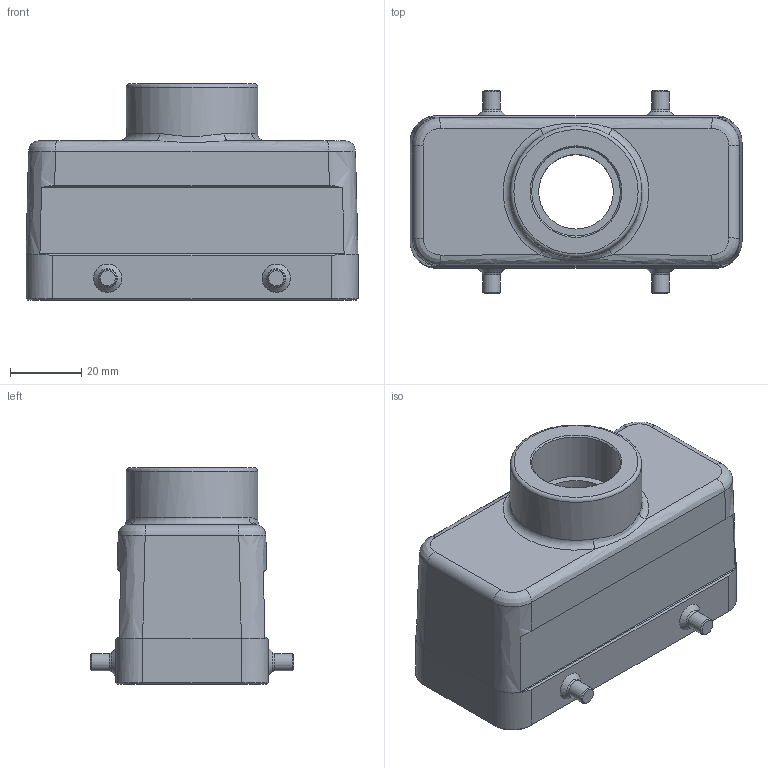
import cadquery as cq
import math

body_length = 93.5
body_width = 43.0
corner_radius = 7.6
rim_height = 13.0
body_top = 44.9
draft_angle = 1.4
top_edge_radius = 3.0
bottom_edge_chamfer = 0.4

total_height = 61.0
collar_diameter = 37.0
collar_edge_radius = 1.0
collar_root_radius = 2.0
collar_embed = 10.0
entry_bore_diameter = 25.0
entry_bore_depth = 14.0
entry_bore_chamfer = 0.4
through_bore_diameter = 21.0

recess_depth = 0.95
recess_bottom = 13.2
recess_top = 32.3
recess_top_slope_height = 0.6
ledge_bevel_width = 0.4
ledge_bevel_height = 0.6

pin_diameter = 4.9
pin_span = 57.2
pin_spacing = 47.5
pin_height = 6.2
pin_tip_chamfer = 0.3
pin_foot_diameter = 8.0
pin_foot_top_diameter = 5.4
pin_neck_length = 0.5
pin_embed = 1.0

draft_slope = math.tan(math.radians(draft_angle))


def half_width_at(z):
    """Half of the drafted body width at height z above the rim."""
    return body_width / 2 - (z - rim_height) * draft_slope


def rounded_rectangle(length, width):
    return cq.Sketch().rect(length, width).vertices().fillet(corner_radius)


def make_body():
    shell_height = body_top - rim_height
    inset = 2 * shell_height * draft_slope
    rim = (
        cq.Workplane("XY")
        .placeSketch(rounded_rectangle(body_length, body_width))
        .extrude(rim_height)
        .faces("<Z")
        .chamfer(bottom_edge_chamfer)
    )
    shell = (
        cq.Workplane("XY", origin=(0, 0, rim_height))
        .placeSketch(
            rounded_rectangle(body_length, body_width),
            rounded_rectangle(body_length - inset, body_width - inset).moved(
                cq.Location(cq.Vector(0, 0, shell_height))
            ),
        )
        .loft(ruled=True)
        .faces(">Z")
        .edges()
        .fillet(top_edge_radius)
    )
    return rim.union(shell)


def add_collar(body):
    """Join the collar to the body and round its root and its top edge."""
    collar_base = body_top - collar_embed
    collar = (
        cq.Workplane("XY", origin=(0, 0, collar_base))
        .circle(collar_diameter / 2)
        .extrude(total_height - collar_base)
        .faces(">Z")
        .edges()
        .fillet(collar_edge_radius)
    )
    joined = body.union(collar)
    reach = collar_diameter / 2 + collar_root_radius / 2
    root_box = cq.selectors.BoxSelector(
        (-reach, -reach, body_top - top_edge_radius),
        (reach, reach, body_top + collar_root_radius),
        boundingbox=True,
    )
    return joined.edges(root_box).fillet(collar_root_radius)


def cut_bores(body):
    top = cq.Workplane("XY", origin=(0, 0, total_height))
    through_bore = top.circle(through_bore_diameter / 2).extrude(-total_height)
    entry_bore = top.circle(entry_bore_diameter / 2).extrude(-entry_bore_depth)
    mouth = cq.Workplane("XY").add(
        cq.Solid.makeCone(
            entry_bore_diameter / 2,
            entry_bore_diameter / 2 + entry_bore_chamfer,
            entry_bore_chamfer,
            pnt=cq.Vector(0, 0, total_height - entry_bore_chamfer),
        )
    )
    return body.cut(through_bore).cut(entry_bore).cut(mouth)


def make_recess_cutter():
    """Cutter for the -Y side: floor parallel to the drafted wall, sloped top, bevelled ledge below."""
    wall = body_width / 2
    clear = wall + ledge_bevel_width
    floor_top = recess_top - recess_top_slope_height
    profile = [
        (-half_width_at(recess_top), recess_top),
        (-(half_width_at(floor_top) - recess_depth), floor_top),
        (-(half_width_at(recess_bottom) - recess_depth), recess_bottom),
        (-(wall - ledge_bevel_width), recess_bottom),
        (-wall, recess_bottom - ledge_bevel_height),
        (-clear, recess_bottom - ledge_bevel_height),
        (-clear, recess_top),
    ]
    return cq.Workplane("YZ").polyline(profile).close().extrude(body_length / 2, both=True)


def make_pin(x):
    """Pin on the -Y side with a conical foot and a tapered neck, revolved about its own axis."""
    wall = body_width / 2
    tip = pin_span / 2
    pin_radius = pin_diameter / 2
    foot_radius = pin_foot_diameter / 2
    foot_top_radius = pin_foot_top_diameter / 2
    foot_end = wall + foot_radius - foot_top_radius
    profile = [
        (0, -(wall - pin_embed)),
        (foot_radius, -(wall - pin_embed)),
        (foot_radius, -wall),
        (foot_top_radius, -foot_end),
        (pin_radius, -(foot_end + pin_neck_length)),
        (pin_radius, -(tip - pin_tip_chamfer)),
        (pin_radius - pin_tip_chamfer, -tip),
        (0, -tip),
    ]
    pin = cq.Workplane("XY").polyline(profile).close().revolve(360, (0, 0, 0), (0, 1, 0))
    return pin.translate((x, 0, pin_height))


result = add_collar(make_body())
recess_cutter = make_recess_cutter()
for cutter in (recess_cutter, recess_cutter.mirror("XZ")):
    result = result.cut(cutter)
for pin_x in (-pin_spacing / 2, pin_spacing / 2):
    pin = make_pin(pin_x)
    result = result.union(pin).union(pin.mirror("XZ"))
result = cut_bores(result)